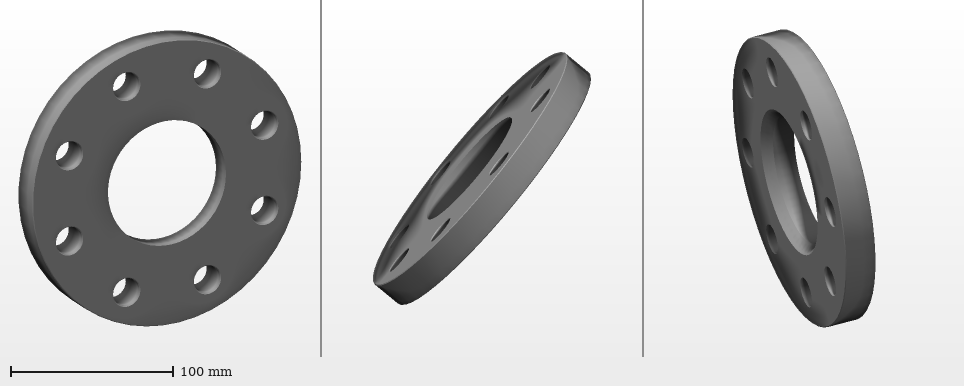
import cadquery as cq

outer_diameter = 185.0
thickness = 20.0

bore_diameter = 81.0
bore_chamfer = 6.0

bolt_count = 8
bolt_circle_diameter = 145.0
bolt_hole_diameter = 18.0
first_bolt_angle = 360 / bolt_count / 2

edge_break = 0.5


def make_blank():
    """Disc with its bolt holes, all edges lightly chamfered."""
    bolt_holes = (
        cq.Workplane("YZ")
        .polarArray(bolt_circle_diameter / 2, first_bolt_angle, 360, bolt_count)
        .circle(bolt_hole_diameter / 2)
        .extrude(thickness)
    )
    blank = cq.Workplane("YZ").circle(outer_diameter / 2).extrude(thickness).cut(bolt_holes)
    return blank.faces("<X or >X").edges().chamfer(edge_break)


def make_bore():
    """Through bore that widens to a 45 degree chamfer at X = 0."""
    bore_radius = bore_diameter / 2
    half_section = [
        (0, 0),
        (0, bore_radius + bore_chamfer),
        (bore_chamfer, bore_radius),
        (thickness, bore_radius),
        (thickness, 0),
    ]
    return cq.Workplane("XY").polyline(half_section).close().revolve(360, (0, 0, 0), (1, 0, 0))


result = make_blank().cut(make_bore())